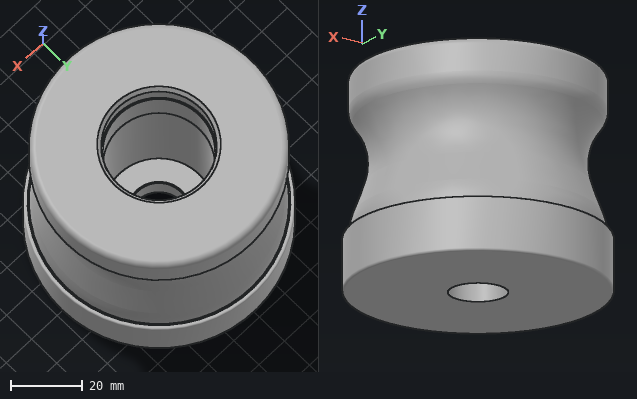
import cadquery as cq
import math

base_radius = 38.1
base_height = 16.0
base_top_fillet = 0.5
base_bottom_fillet = 0.8
floor_thickness = 8.0
socket_radius = 36.8
tube_radius = 22.85
tube_top = 45.7

bore_radius = 15.7
hole_radius = 8.45
hole_chamfer = 0.3

sleeve_top = 63.5
sleeve_radius = 36.4
top_fillet = 2.0
waist_arc_radius = 20.0
upper_cone_angle = math.radians(38.8)
lower_cone_angle = math.radians(20)
head_bottom = 53.4
waist_top = 50.1
waist_bottom = 30.9
cone_bottom = 21.95
counterbore_radius = 16.15
counterbore_depth = 6.2
mouth_chamfer = 1.15


def make_base():
    cup = cq.Workplane("XY").circle(base_radius).extrude(base_height)
    cup = cup.faces(">Z").fillet(base_top_fillet)
    cup = cup.faces("<Z").fillet(base_bottom_fillet)
    floor = cq.Workplane("XY").workplane(offset=floor_thickness)
    cup = cup.cut(floor.circle(socket_radius).extrude(base_height))
    tube = floor.circle(tube_radius).circle(bore_radius).extrude(tube_top - floor_thickness)
    hole = floor.circle(hole_radius).extrude(-floor_thickness)
    bevel = floor.circle(hole_radius + hole_chamfer).extrude(-hole_chamfer, taper=45)
    return cup.cut(hole).cut(bevel).union(tube)


def make_sleeve_blank():
    """Revolve the outside outline, whose arcs blend tangentially into the lower cone."""
    head_arc_radius = (head_bottom - waist_top) / math.sin(upper_cone_angle)
    waist_top_radius = sleeve_radius - head_arc_radius * (1 - math.cos(upper_cone_angle))
    waist_radius = waist_top_radius - waist_arc_radius * (1 - math.cos(upper_cone_angle))
    waist_center_z = waist_bottom + waist_arc_radius * math.sin(lower_cone_angle)
    waist_bottom_radius = waist_radius + waist_arc_radius * (1 - math.cos(lower_cone_angle))
    cone_height = waist_bottom - cone_bottom
    cone_bottom_radius = waist_bottom_radius + cone_height * math.tan(lower_cone_angle)
    foot_arc_radius = (cone_bottom - base_height) / math.sin(lower_cone_angle)
    foot_radius = cone_bottom_radius + foot_arc_radius * (1 - math.cos(lower_cone_angle))
    outline = (
        cq.Workplane("XZ")
        .moveTo(0, floor_thickness)
        .lineTo(socket_radius, floor_thickness)
        .lineTo(socket_radius, base_height)
        .lineTo(foot_radius, base_height)
        .radiusArc((cone_bottom_radius, cone_bottom), -foot_arc_radius)
        .lineTo(waist_bottom_radius, waist_bottom)
        .threePointArc((waist_radius, waist_center_z), (waist_top_radius, waist_top))
        .radiusArc((sleeve_radius, head_bottom), -head_arc_radius)
        .lineTo(sleeve_radius, sleeve_top)
        .lineTo(0, sleeve_top)
        .close()
    )
    return outline.revolve(360, (0, 0), (0, 1))


def make_sleeve():
    sleeve = make_sleeve_blank().faces(">Z").edges().fillet(top_fillet)
    tube_seat = cq.Workplane("XY").circle(tube_radius).extrude(tube_top)
    bore = cq.Workplane("XY").circle(bore_radius).extrude(sleeve_top)
    counterbore_floor = cq.Workplane("XY").workplane(offset=sleeve_top - counterbore_depth)
    counterbore = counterbore_floor.circle(counterbore_radius).extrude(counterbore_depth)
    sleeve = sleeve.cut(tube_seat).cut(bore).cut(counterbore)
    mouth = sleeve.faces(">Z").edges(cq.selectors.RadiusNthSelector(0))
    return mouth.chamfer(mouth_chamfer)


base = make_base()
sleeve = make_sleeve()
result = cq.Compound.makeCompound([base.val(), sleeve.val()])